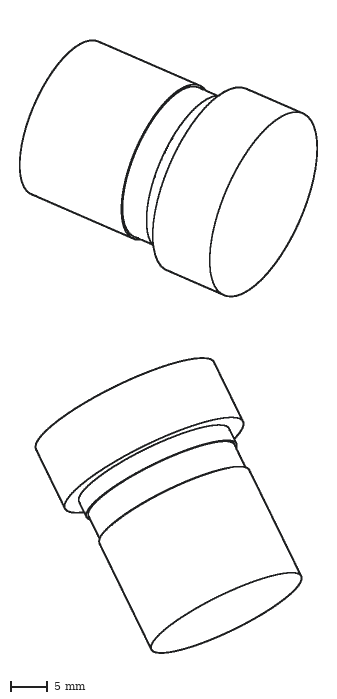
import cadquery as cq

total_length = 32.4
head_length = 9.3
head_diameter = 27.2
shank_diameter = 22.9
groove_diameter = 22.3
groove_width = 4.1
collar_length = 2.4

shank_length = total_length - head_length
groove_end = shank_length - collar_length
groove_start = groove_end - groove_width


def cylinder_along_x(start, length, diameter):
    """Solid cylinder on the X axis, running from start toward +X."""
    return cq.Workplane("YZ", origin=(start, 0, 0)).circle(diameter / 2).extrude(length)


def make_groove():
    """Ring of material to remove from the shank."""
    outer = cylinder_along_x(groove_start, groove_width, head_diameter)
    core = cylinder_along_x(groove_start, groove_width, groove_diameter)
    return outer.cut(core)


shank = cylinder_along_x(0, shank_length, shank_diameter)
head = cylinder_along_x(shank_length, head_length, head_diameter)

result = shank.union(head).cut(make_groove())